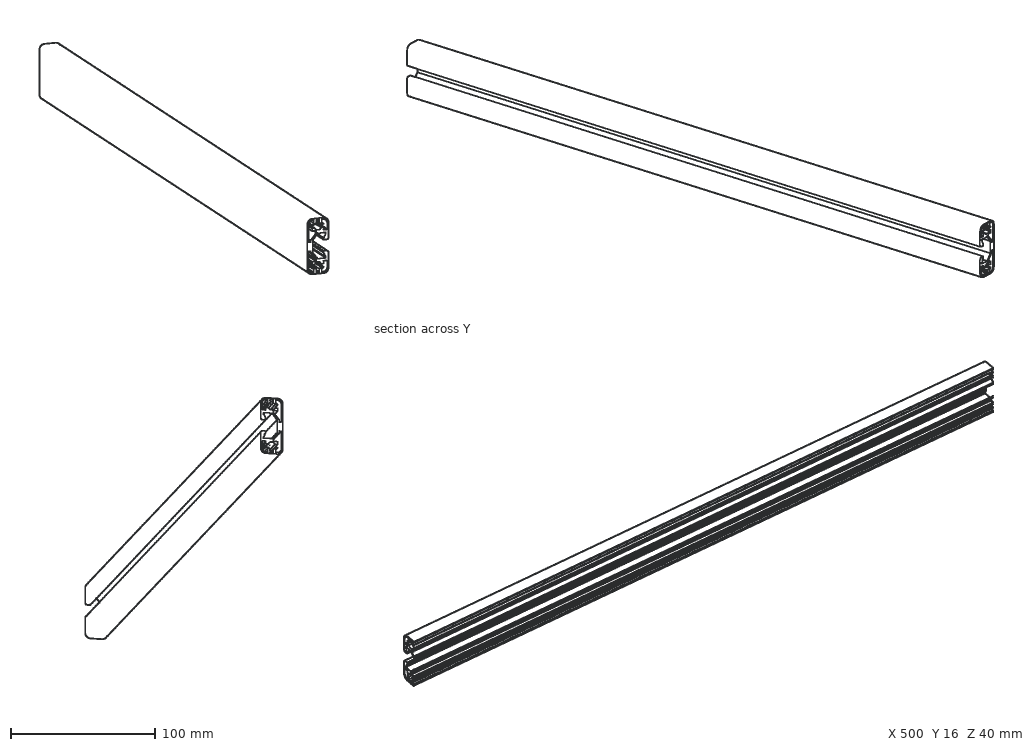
import cadquery as cq
import math


LENGTH = 500.0
DEPTH = 16.0
HEIGHT = 40.0
CORNER_RADIUS = 4.0
WALL = 1.2
SIDE = DEPTH / 2
TOP = HEIGHT / 2
COS_45 = math.sqrt(0.5)

SLOT_OPENING = 8.0
SLOT_WIDTH = 18.3
SLOT_FLOOR_WIDTH = 9.2
SLOT_DEPTH = 11.8
SLOT_BEND_DEPTH = 8.2
LIP_ROUND = 1.5
LIP_TIP_DEPTH = 3.65
LIP_ROOT_DEPTH = 2.2
LIP_TIP_HEIGHT = 5.3
LIP_ROOT_HEIGHT = 8.4

BORE_RADIUS = 2.65
BORE_Z = 14.2
GAP_TOP = 15.4
GAP_BOTTOM = 13.0
BLOCK_HALF_WIDTH = 4.3
BLOCK_UNDERSIDE = 11.0
RIB_NECK_HALF_WIDTH = 3.0
RIB_FLARE_TOP = 16.6
SLIT_HALF_WIDTH = 1.1

CHAMBER_SIDE = SIDE - WALL
CHAMBER_TOP = TOP - WALL
CHAMBER_RADIUS = CORNER_RADIUS - WALL
CHAMBER_FLOOR = 11.2
FLOOR_RAMP_START = 6.4
POCKET_BOTTOM = 3.3
POCKET_EDGE = 5.5
POCKET_EDGE_TOP = 4.5
WEB_BEND_Y = 1.2
WEB_BEND_Z = 9.6


def extruded(outline):
    """Extrude a closed YZ outline over the full length, centred on X = 0."""
    return outline.close().extrude(LENGTH / 2, both=True)


def bore_half_chord(z):
    """Half width of the bore at height z."""
    return math.sqrt(BORE_RADIUS**2 - (z - BORE_Z) ** 2)


def bore_height(y):
    """Height of the upper bore surface at offset y."""
    return BORE_Z + math.sqrt(BORE_RADIUS**2 - y**2)


def make_blank():
    """Solid bar with rounded long edges."""
    bar = cq.Workplane("YZ").rect(DEPTH, HEIGHT).extrude(LENGTH / 2, both=True)
    return bar.edges("|X").fillet(CORNER_RADIUS)


def make_slot():
    """T-slot void with rounded lip edges at its mouth."""
    half_opening = SLOT_OPENING / 2
    lip_tip = SIDE - LIP_TIP_DEPTH
    lip_root = SIDE - LIP_ROOT_DEPTH
    inner_points = [
        (lip_tip, half_opening),
        (lip_tip, LIP_TIP_HEIGHT),
        (lip_root, LIP_ROOT_HEIGHT),
        (lip_root, SLOT_WIDTH / 2),
        (SIDE - SLOT_BEND_DEPTH, SLOT_WIDTH / 2),
        (SIDE - SLOT_DEPTH, SLOT_FLOOR_WIDTH / 2),
    ]
    mirrored_points = [(y, -z) for y, z in reversed(inner_points)]

    mouth_start = SIDE - LIP_ROUND
    mouth_z = half_opening + LIP_ROUND
    sagitta = LIP_ROUND * (1 - COS_45)
    arc_mid = (SIDE - sagitta, mouth_z - LIP_ROUND * COS_45)
    outline = cq.Workplane("YZ").moveTo(SIDE, mouth_z)
    outline = outline.threePointArc(arc_mid, (mouth_start, half_opening))
    for y, z in inner_points + mirrored_points:
        outline = outline.lineTo(y, z)
    outline = outline.lineTo(mouth_start, -half_opening)
    outline = outline.threePointArc((arc_mid[0], -arc_mid[1]), (SIDE, -mouth_z))
    return extruded(outline)


def make_chamber():
    """Upper chamber void, including the screw bore and the slit above it."""
    sagitta = CHAMBER_RADIUS * (1 - COS_45)
    corner_mid_y = CHAMBER_SIDE - sagitta
    corner_mid_z = CHAMBER_TOP - sagitta
    corner_y = CHAMBER_SIDE - CHAMBER_RADIUS
    corner_z = CHAMBER_TOP - CHAMBER_RADIUS

    upper_chord = bore_half_chord(GAP_TOP)
    lower_chord = bore_half_chord(GAP_BOTTOM)
    slit_end_z = bore_height(SLIT_HALF_WIDTH)
    arc_y = (upper_chord + SLIT_HALF_WIDTH) / 2
    arc_z = bore_height(arc_y)

    outline = (
        cq.Workplane("YZ")
        .moveTo(-SLIT_HALF_WIDTH, CHAMBER_TOP)
        .lineTo(-SLIT_HALF_WIDTH, slit_end_z)
        .threePointArc((-arc_y, arc_z), (-upper_chord, GAP_TOP))
        .lineTo(-BLOCK_HALF_WIDTH, GAP_TOP)
        .lineTo(-RIB_NECK_HALF_WIDTH, RIB_FLARE_TOP)
        .lineTo(-RIB_NECK_HALF_WIDTH, CHAMBER_TOP)
        .lineTo(-corner_y, CHAMBER_TOP)
        .threePointArc((-corner_mid_y, corner_mid_z), (-CHAMBER_SIDE, corner_z))
        .lineTo(-CHAMBER_SIDE, POCKET_BOTTOM)
        .lineTo(-POCKET_EDGE, POCKET_BOTTOM)
        .lineTo(-POCKET_EDGE, POCKET_EDGE_TOP)
        .lineTo(-WEB_BEND_Y, WEB_BEND_Z)
        .lineTo(-WEB_BEND_Y, BLOCK_UNDERSIDE)
        .lineTo(-BLOCK_HALF_WIDTH, BLOCK_UNDERSIDE)
        .lineTo(-BLOCK_HALF_WIDTH, GAP_BOTTOM)
        .lineTo(-lower_chord, GAP_BOTTOM)
        .threePointArc((0, BORE_Z - BORE_RADIUS), (lower_chord, GAP_BOTTOM))
        .lineTo(BLOCK_HALF_WIDTH, GAP_BOTTOM)
        .lineTo(BLOCK_HALF_WIDTH, CHAMBER_FLOOR)
        .lineTo(FLOOR_RAMP_START, CHAMBER_FLOOR)
        .lineTo(CHAMBER_SIDE, CHAMBER_FLOOR + CHAMBER_SIDE - FLOOR_RAMP_START)
        .lineTo(CHAMBER_SIDE, corner_z)
        .threePointArc((corner_mid_y, corner_mid_z), (corner_y, CHAMBER_TOP))
        .lineTo(RIB_NECK_HALF_WIDTH, CHAMBER_TOP)
        .lineTo(RIB_NECK_HALF_WIDTH, RIB_FLARE_TOP)
        .lineTo(BLOCK_HALF_WIDTH, GAP_TOP)
        .lineTo(upper_chord, GAP_TOP)
        .threePointArc((arc_y, arc_z), (SLIT_HALF_WIDTH, slit_end_z))
        .lineTo(SLIT_HALF_WIDTH, CHAMBER_TOP)
    )
    return extruded(outline)


upper_chamber = make_chamber()
lower_chamber = upper_chamber.mirror("XY")
result = make_blank().cut(make_slot()).cut(upper_chamber).cut(lower_chamber)